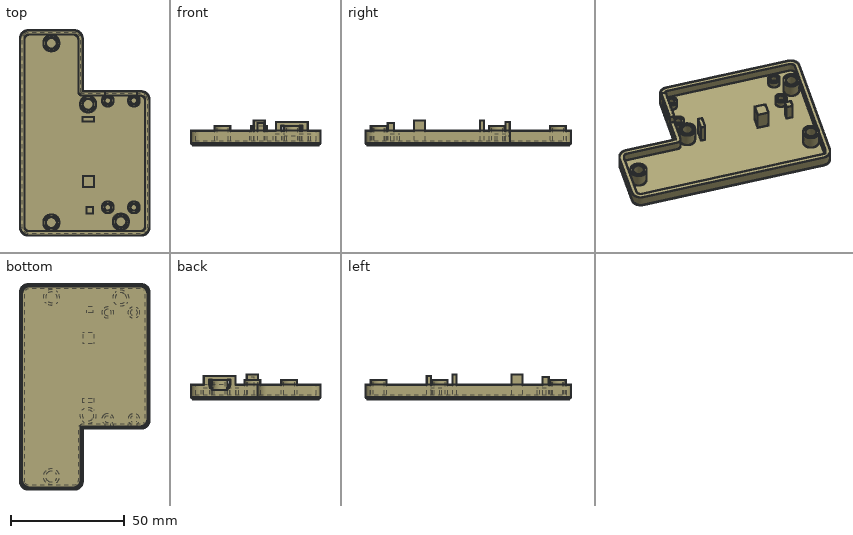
import cadquery as cq

width = 57.0
length = 90.3
leg_width = 27.6
body_length = 63.5
corner_radius = 4.0
wall = 2.0
floor = 2.0
rim_height = 6.5
bottom_chamfer = 1.0

large_post_diameter = 7.0
large_bore_diameter = 4.9
large_post_top = 8.6
post_inset = 5.8
leg_post_x = 13.8
port_post_y = 6.1
notch_post = (30.0, 57.7)
port_center_x = 44.3

small_post_diameter = 5.1
small_bore_diameter = 3.0
small_post_top = 5.0
small_post_pitch_x = 11.5
small_post_front_y = 12.5
small_post_back_y = 59.3

pillar_top = 10.9
short_pillar_top = 9.8
pillars = [
    (27.45, 50.2, 5.1, 1.9, pillar_top),
    (27.6, 21.3, 4.9, 4.9, pillar_top),
    (29.3, 9.75, 2.8, 2.8, short_pillar_top),
]

frame_width = 14.0
frame_top = 10.3
port_width = 9.1
port_sill_width = 6.5
port_top = 8.6
port_shoulder = 5.8
port_bottom = 4.15


def block(x, y, size_x, size_y, bottom, top):
    """Box given by its left-front corner, plan size, and bottom and top heights."""
    return (
        cq.Workplane("XY", origin=(x, y, bottom))
        .box(size_x, size_y, top - bottom, centered=False)
    )


def cylinders(centers, diameter, bottom, top):
    """Equal upright cylinders at the given plan positions."""
    return (
        cq.Workplane("XY", origin=(0, 0, bottom))
        .pushPoints(centers)
        .circle(diameter / 2)
        .extrude(top - bottom)
    )


def make_tray():
    """L-shaped tray: rounded outer corners, sharp notch corner, chamfered bottom."""
    leg = block(0, 0, leg_width, length, 0, rim_height).edges("|Z").fillet(corner_radius)
    body = block(0, 0, width, body_length, 0, rim_height).edges("|Z").fillet(corner_radius)
    outer = leg.union(body)
    cavity = (
        outer.faces(">Z").wires().toPending()
        .offset2D(-wall)
        .extrude(floor - rim_height, combine=False)
    )
    return outer.faces("<Z").chamfer(bottom_chamfer).cut(cavity)


def add_hollow_posts(body, centers, diameter, bore, top):
    """Posts rising from the floor, bored down to the floor surface."""
    posts = cylinders(centers, diameter, floor, top)
    bores = cylinders(centers, bore, floor, top)
    return body.union(posts).cut(bores)


def add_port(body):
    """Raised frame in line with the notch wall, with a tapered-bottom opening."""
    frame = block(
        port_center_x - frame_width / 2, body_length - wall,
        frame_width, wall, floor, frame_top,
    )
    opening = (
        cq.Workplane("XZ", origin=(port_center_x, body_length, 0))
        .moveTo(-port_width / 2, port_top)
        .lineTo(port_width / 2, port_top)
        .lineTo(port_width / 2, port_shoulder)
        .lineTo(port_sill_width / 2, port_bottom)
        .lineTo(-port_sill_width / 2, port_bottom)
        .lineTo(-port_width / 2, port_shoulder)
        .close()
        .extrude(wall)
    )
    return body.union(frame).cut(opening)


large_posts = [
    (leg_post_x, post_inset),
    (leg_post_x, length - post_inset),
    (port_center_x, port_post_y),
    notch_post,
]
small_posts = [
    (port_center_x + side * small_post_pitch_x / 2, y)
    for side in (-1, 1)
    for y in (small_post_front_y, small_post_back_y)
]

result = add_port(make_tray())
result = add_hollow_posts(
    result, small_posts, small_post_diameter, small_bore_diameter, small_post_top
)
result = add_hollow_posts(
    result, large_posts, large_post_diameter, large_bore_diameter, large_post_top
)
for x, y, size_x, size_y, top in pillars:
    result = result.union(block(x, y, size_x, size_y, floor, top))